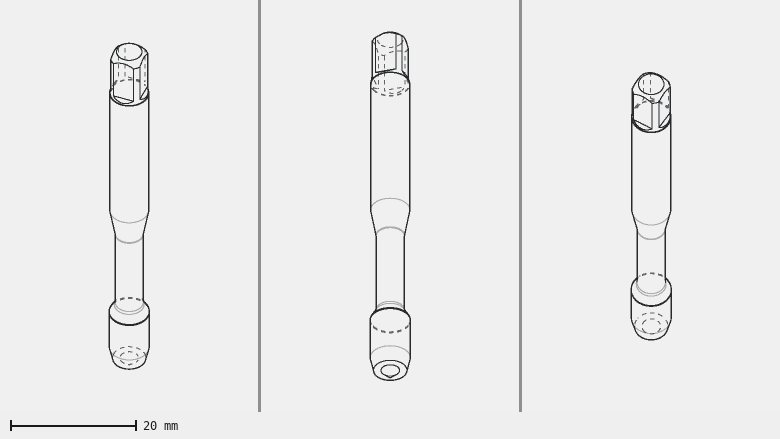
import cadquery as cq

total_length = 67.55
tip_height = 1.5
lead_top = 4.0
cutter_top = 11.4
collar_rim_top = 11.6
collar_top = 13.3
neck_top = 28.4
shank_bottom = 33.5
shank_top = 58.7
flats_bottom = 59.6

tip_diameter = 3.0
lead_diameter = 5.35
cutter_diameter = 6.4
neck_diameter = 4.5
shank_diameter = 6.3
drive_diameter = 6.1
drive_end_diameter = 4.05

neck_fillet = 1.0
edge_search_margin = 0.1

square_width = 5.0
end_chamfer = (drive_diameter - drive_end_diameter) / 2
runout_depth = (shank_diameter - square_width) / 2


def revolve_profile(sections):
    """Revolve (diameter, height) sections, listed bottom to top, about the Z axis."""
    outline = [(0, sections[0][1])]
    outline += [(diameter / 2, height) for diameter, height in sections]
    outline.append((0, sections[-1][1]))
    return cq.Workplane("XZ").polyline(outline).close().revolve(360, (0, 0), (0, 1))


def round_neck_end(body, height):
    """Fillet the circular edge where the neck ends at the given height."""
    reach = shank_diameter
    lower = (-reach, -reach, height - edge_search_margin)
    upper = (reach, reach, height + edge_search_margin)
    return body.edges(cq.selectors.BoxSelector(lower, upper)).edges("%CIRCLE").fillet(neck_fillet)


def make_flat_cutter():
    """Material removed on the +X side to leave one flat with a sloping lower end."""
    flat_x = square_width / 2
    outer_x = flat_x + runout_depth
    return (
        cq.Workplane("XZ")
        .polyline([
            (flat_x, flats_bottom),
            (outer_x, flats_bottom - runout_depth),
            (outer_x, total_length),
            (flat_x, total_length),
        ])
        .close()
        .extrude(shank_diameter / 2, both=True)
    )


def make_cutter():
    """Cutting section: pointed tip, tapered lead and plain cylinder."""
    tip = cq.Solid.makeCone(0, tip_diameter / 2, tip_height)
    land = revolve_profile([
        (lead_diameter, tip_height),
        (cutter_diameter, lead_top),
        (cutter_diameter, cutter_top),
    ])
    return land.union(cq.Workplane(obj=tip))


def make_shank():
    """Collar, slender neck, tapered shoulder, shank and square drive."""
    shank = revolve_profile([
        (cutter_diameter, cutter_top),
        (cutter_diameter, collar_rim_top),
        (neck_diameter, collar_top),
        (neck_diameter, neck_top),
        (shank_diameter, shank_bottom),
        (shank_diameter, shank_top),
        (drive_diameter, shank_top),
        (drive_diameter, total_length - end_chamfer),
        (drive_end_diameter, total_length),
    ])
    for height in (collar_top, neck_top):
        shank = round_neck_end(shank, height)
    flat_cutter = make_flat_cutter()
    for angle in (0, 90, 180, 270):
        shank = shank.cut(flat_cutter.rotate((0, 0, 0), (0, 0, 1), angle))
    return shank


cutter = make_cutter()
shank = make_shank()
result = cq.Compound.makeCompound([cutter.val(), shank.val()])